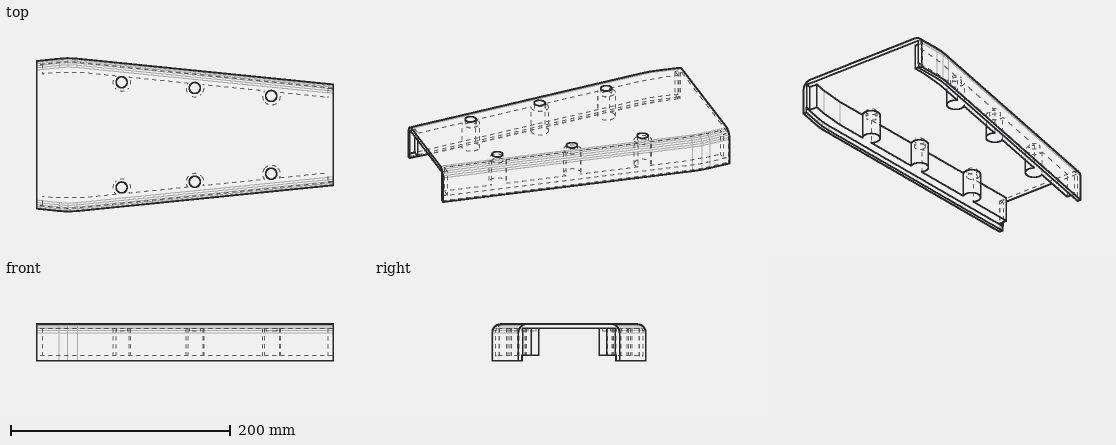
import cadquery as cq
import math

length = 270.0
width = 140.0
height = 33.5

shoulder_start = (20.0, 69.4)
widest = (28.0, width / 2)
shoulder_end = (37.0, 69.5)
front_half_width = 67.3
rear_half_width = 46.0

round_radius = 8.0
round_facets = 6

roof_thickness = 4.0
wall_thickness = 4.0
lip_thickness = 3.3
lip_height = 5.0

rib_depth = 12.0
rib_setback = 5.0
rib_shoulder_x = 17.0

boss_radius = 8.0
hole_diameter = 10.0
hole_depth = 6.0
boss_centres = [(77.3, 47.9), (143.9, 42.7), (213.5, 35.4)]

ceiling = height - roof_thickness


def inset_half_outline(inset):
    """Points of the +Y flank moved inward by a perpendicular distance, from front to rear."""
    outer = [(0.0, front_half_width), shoulder_start, widest, shoulder_end, (length, rear_half_width)]
    slopes = [(b[1] - a[1]) / (b[0] - a[0]) for a, b in zip(outer, outer[1:])]
    offsets = [
        y - slope * x - inset * math.hypot(1.0, slope)
        for (x, y), slope in zip(outer, slopes)
    ]
    points = [(0.0, offsets[0])]
    for i in range(len(slopes) - 1):
        x = (offsets[i + 1] - offsets[i]) / (slopes[i] - slopes[i + 1])
        points.append((x, slopes[i] * x + offsets[i]))
    points.append((length, slopes[-1] * length + offsets[-1]))
    return points


def rib_half_outline():
    """Inner faces of the +Y rib: parallel to the two flanks, with one flat face across the shoulder."""
    points = inset_half_outline(rib_depth)
    front, front_corner = points[:2]
    rear_corner, rear = points[-2:]
    front_slope = (front_corner[1] - front[1]) / (front_corner[0] - front[0])
    rear_slope = (rear[1] - rear_corner[1]) / (rear[0] - rear_corner[0])
    shoulder_y = front[1] + front_slope * rib_shoulder_x
    rear_shoulder_x = rear[0] + (shoulder_y - rear[1]) / rear_slope
    return [front, (rib_shoulder_x, shoulder_y), (rear_shoulder_x, shoulder_y), rear]


def plan_outline(flank, z):
    """Closed outline at one height, made of the +Y flank and its mirror image."""
    mirrored = [(x, -y) for x, y in reversed(flank)]
    return cq.Workplane("XY").workplane(offset=z).polyline(flank + mirrored).close()


def prism(flank, bottom, top):
    return plan_outline(flank, bottom).extrude(top - bottom)


def outer_body():
    """Solid envelope: straight sides below, then flat facets stepping round to the roof."""
    body = prism(inset_half_outline(0.0), 0.0, height - round_radius)
    step = math.pi / 2 / round_facets
    levels = []
    for i in range(round_facets + 1):
        inset = round_radius * (1 - math.cos(i * step))
        z = height - round_radius * (1 - math.sin(i * step))
        levels.append(plan_outline(inset_half_outline(inset), z).wires().val())
    for lower, upper in zip(levels, levels[1:]):
        body = body.union(cq.Workplane(cq.Solid.makeLoft([lower, upper], True)))
    return body


def cavity():
    """Space under the roof, stepped outward at the bottom lip and inward at the ribs."""
    space = prism(inset_half_outline(lip_thickness), 0.0, lip_height)
    space = space.union(prism(inset_half_outline(wall_thickness), lip_height, ceiling))
    rib_length = length - 2 * rib_setback
    rib_height = ceiling - lip_height
    rib_zone = cq.Workplane("XY").box(rib_length, width, rib_height, centered=(False, True, False))
    rib_zone = rib_zone.translate((rib_setback, 0, lip_height))
    ribs = rib_zone.cut(prism(rib_half_outline(), lip_height, ceiling))
    return space.cut(ribs)


def at_bosses(z):
    points = [(x, side * y) for x, y in boss_centres for side in (1, -1)]
    return cq.Workplane("XY").workplane(offset=z).pushPoints(points)


bosses = at_bosses(lip_height).circle(boss_radius).extrude(ceiling - lip_height)
holes = at_bosses(height - hole_depth).circle(hole_diameter / 2).extrude(hole_depth)

result = outer_body().cut(cavity()).union(bosses).cut(holes)